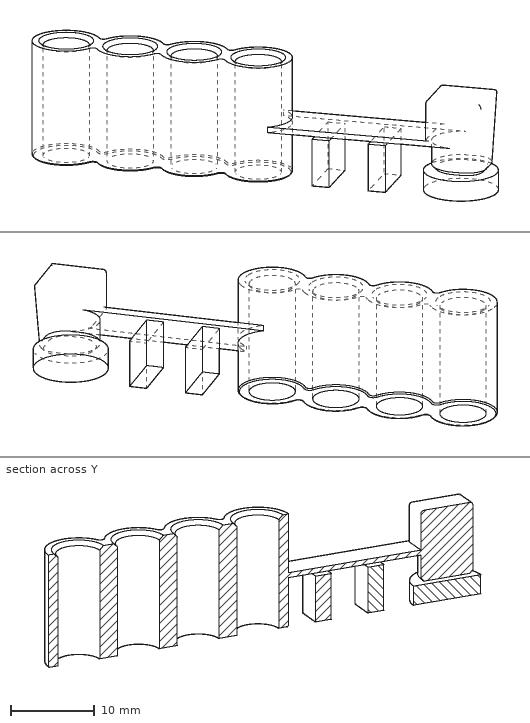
import cadquery as cq
import math

TUBE_COUNT = 4
TUBE_RADIUS = 4.1
TUBE_PITCH = 8.0
TUBE_HEIGHT = 14.45
BORE_RADIUS = 2.8
BORE_CHAMFER = 0.5
NECK_FILLET = 0.5
BASE_CHAMFER = 0.2

ARM_WIDTH = 7.0
ARM_THICKNESS = 0.7
ARM_BOTTOM = 6.25

HEAD_BOTTOM = 2.85
HEAD_TOP = 11.95
STEM_RADIUS = 3.5
CORNER_RADIUS_TOP = 0.05
CORNER_RADIUS_BOTTOM = 2.5
HEAD_FILLET = 0.45
HEAD_CHAMFER = 0.45

TOTAL_LENGTH = 57.8
DISC_RADIUS = 4.5
GAP = 0.35
POST_COUNT = 2
POST_LENGTH = 2.15
POST_PITCH = 7.0
FIRST_POST_X = 35.7

LAST_TUBE_X = TUBE_RADIUS + (TUBE_COUNT - 1) * TUBE_PITCH
HEAD_X = TOTAL_LENGTH - DISC_RADIUS
HALF_WIDTH = ARM_WIDTH / 2
HEAD_NEAR_X = HEAD_X - STEM_RADIUS
HEAD_FAR_X = HEAD_X + HALF_WIDTH
FOOT_TOP = HEAD_BOTTOM + HEAD_CHAMFER
SHOULDER = HEAD_TOP - HEAD_FILLET


def tube_centres():
    return [(TUBE_RADIUS + i * TUBE_PITCH, 0) for i in range(TUBE_COUNT)]


def make_rack():
    """Solid row of tubes with rounded creases; the bores are cut later."""
    rack = cq.Workplane("XY")
    for x, y in tube_centres():
        rack = rack.union(cq.Workplane("XY").center(x, y).circle(TUBE_RADIUS).extrude(TUBE_HEIGHT))
    crease_y = math.sqrt(TUBE_RADIUS**2 - (TUBE_PITCH / 2) ** 2)
    for i in range(TUBE_COUNT - 1):
        crease_x = TUBE_RADIUS + (i + 0.5) * TUBE_PITCH
        for side in (-1, 1):
            crease = cq.selectors.NearestToPointSelector((crease_x, side * crease_y, TUBE_HEIGHT / 2))
            rack = rack.edges(crease).fillet(NECK_FILLET)
    return rack.faces("<Z").edges().chamfer(BASE_CHAMFER)


def make_bores():
    """Through bores, each with a conical mouth at the top."""
    bores = cq.Workplane("XY").pushPoints(tube_centres()).circle(BORE_RADIUS).extrude(TUBE_HEIGHT)
    mouth = cq.Solid.makeCone(BORE_RADIUS, BORE_RADIUS + BORE_CHAMFER, BORE_CHAMFER)
    for x, y in tube_centres():
        bores = bores.union(cq.Workplane(mouth.moved(cq.Location((x, y, TUBE_HEIGHT - BORE_CHAMFER)))))
    return bores


def make_arm():
    length = HEAD_X - LAST_TUBE_X
    return (
        cq.Workplane("XY", origin=(LAST_TUBE_X, 0, ARM_BOTTOM))
        .rect(length, ARM_WIDTH)
        .extrude(ARM_THICKNESS)
        .translate((length / 2, 0, 0))
    )


def head_section(plane, corner_radius):
    """Rectangle whose two far corners are rounded."""
    straight_x = HEAD_FAR_X - corner_radius
    straight_y = HALF_WIDTH - corner_radius
    diagonal = corner_radius * math.sqrt(0.5)
    return (
        plane.moveTo(HEAD_NEAR_X, -HALF_WIDTH)
        .lineTo(straight_x, -HALF_WIDTH)
        .threePointArc((straight_x + diagonal, -straight_y - diagonal), (HEAD_FAR_X, -straight_y))
        .lineTo(HEAD_FAR_X, straight_y)
        .threePointArc((straight_x + diagonal, straight_y + diagonal), (straight_x, HALF_WIDTH))
        .lineTo(HEAD_NEAR_X, HALF_WIDTH)
        .close()
    )


def make_head_block():
    """Rectangular block with rounded top edges and rounded near upright edges."""
    block = cq.Workplane("XY").box(
        HEAD_FAR_X - HEAD_NEAR_X, ARM_WIDTH, HEAD_TOP - FOOT_TOP, centered=(False, True, False)
    ).translate((HEAD_NEAR_X, 0, FOOT_TOP))
    return block.faces("<X").edges("|Z").fillet(HEAD_FILLET).faces(">Z").edges().fillet(HEAD_FILLET)


def make_corner_envelope():
    """Upright shape whose far corners widen from nearly sharp at the shoulder to round at the foot."""
    lower = head_section(cq.Workplane("XY", origin=(0, 0, FOOT_TOP)), CORNER_RADIUS_BOTTOM)
    both = head_section(lower.workplane(offset=SHOULDER - FOOT_TOP), CORNER_RADIUS_TOP)
    envelope = both.loft(ruled=True)
    return envelope.faces(">Z").wires().toPending().workplane().extrude(HEAD_TOP - SHOULDER)


def make_head():
    head = make_head_block().intersect(make_corner_envelope())

    stem_height = ARM_BOTTOM - FOOT_TOP
    near_side = (
        cq.Workplane("XY", origin=(HEAD_NEAR_X, 0, FOOT_TOP))
        .rect(2 * STEM_RADIUS, 2 * STEM_RADIUS)
        .extrude(stem_height)
    )
    stem = cq.Workplane("XY", origin=(HEAD_X, 0, FOOT_TOP)).circle(STEM_RADIUS).extrude(stem_height)
    head = head.cut(near_side.cut(stem))

    foot = head.faces("<Z").wires().toPending().workplane().extrude(HEAD_CHAMFER, combine=False, taper=45)
    return head.union(foot)


def make_holder():
    return make_rack().union(make_arm()).union(make_head()).cut(make_bores())


def make_disc():
    return cq.Workplane("XY").center(HEAD_X, 0).circle(DISC_RADIUS).extrude(HEAD_BOTTOM - GAP)


def make_post(x):
    return (
        cq.Workplane("XY")
        .center(x + POST_LENGTH / 2, 0)
        .rect(POST_LENGTH, ARM_WIDTH)
        .extrude(ARM_BOTTOM - GAP)
    )


holder = make_holder()
disc = make_disc()
posts = [make_post(FIRST_POST_X + i * POST_PITCH) for i in range(POST_COUNT)]

result = cq.Compound.makeCompound([holder.val(), disc.val(), *[post.val() for post in posts]])